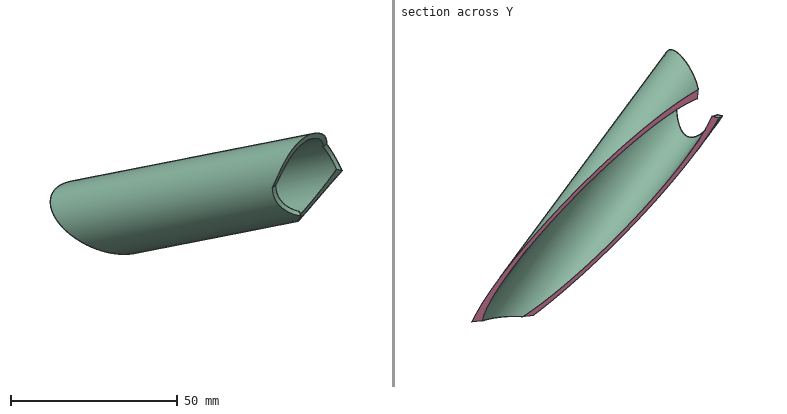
import cadquery as cq
import math

tube_diameter = 25.1
wall = 1.5
tube_heading = 16.6
tube_rise = 37.9
tube_axis_point = cq.Vector(0, -0.9, -9.4)
tube_half_length = 92.5

foot_point = (-29.8, -10.0, -33.4)
foot_normal = (0.14, 0.08, 1)

post_radius = 12.5
post_x = 50.2
post_y = 13.6

rail_radius = 12.9
rail_x = 48.8
rail_z = 29.8
rail_run = cq.Vector(-0.08, 1, 0.03)

notch_z = 25
notch_x = rail_x - math.sqrt(rail_radius**2 - (rail_z - notch_z) ** 2)
crown_x = 37.4
crown_z = 29.8
tip_x = 36.8
tip_z = 36.25

cutter_reach = 138.7


def tube_direction():
    """Unit vector along the tube, from foot to head."""
    heading = math.radians(tube_heading)
    rise = math.radians(tube_rise)
    return cq.Vector(
        math.cos(rise) * math.cos(heading),
        math.cos(rise) * math.sin(heading),
        math.sin(rise),
    )


def long_tube():
    """Tube before its ends are trimmed."""
    plane = cq.Plane(origin=tube_axis_point, normal=tube_direction())
    outer_radius = tube_diameter / 2
    rings = cq.Workplane(plane).circle(outer_radius).circle(outer_radius - wall)
    return rings.extrude(tube_half_length, both=True)


def foot_cutter():
    """Block below the flat foot."""
    plane = cq.Plane(origin=foot_point, normal=foot_normal)
    return cq.Workplane(plane).rect(2 * cutter_reach, 2 * cutter_reach).extrude(-cutter_reach)


def post_cutter():
    """Vertical post that cuts a round saddle in the underside of the head."""
    return cq.Workplane("XY").center(post_x, post_y).circle(post_radius).extrude(cutter_reach, both=True)


def rail_cutter():
    """Prism along the rail: the rail's round lower side, with the bowed end face above it."""
    across_rail = (rail_run.y, -rail_run.x, 0)
    plane = cq.Plane(origin=(0, 0, 0), xDir=across_rail, normal=rail_run * -1)
    seat_bottom_z = rail_z - rail_radius
    diagonal = rail_radius * math.sqrt(0.5)
    return (
        cq.Workplane(plane)
        .moveTo(tip_x, tip_z)
        .threePointArc((crown_x, crown_z), (notch_x, notch_z))
        .threePointArc((rail_x - diagonal, rail_z - diagonal), (rail_x, seat_bottom_z))
        .lineTo(cutter_reach, seat_bottom_z)
        .lineTo(cutter_reach, cutter_reach)
        .lineTo(tip_x, cutter_reach)
        .close()
        .extrude(cutter_reach, both=True)
    )


result = long_tube().cut(foot_cutter()).cut(post_cutter()).cut(rail_cutter())